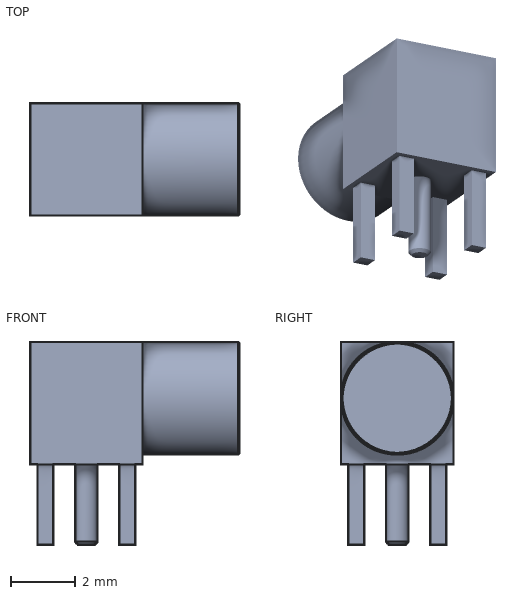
import cadquery as cq

total_length = 6.5
body_width = 3.5
body_height = 3.8
barrel_diameter = body_width
barrel_length = total_length - body_width
barrel_axis_height = body_height - barrel_diameter / 2
barrel_chamfer = 0.05

pin_length = 2.495
leg_width = 0.5
leg_spacing = 2.54
contact_diameter = 0.7
contact_chamfer = 0.1


def make_body():
    return cq.Workplane("XY").box(body_width, body_width, body_height, centered=(True, True, False))


def make_barrel():
    """Round barrel flush with the top of the body, chamfered at its free end."""
    return (
        cq.Workplane("YZ", origin=(body_width / 2, 0, barrel_axis_height))
        .circle(barrel_diameter / 2)
        .extrude(barrel_length)
        .faces(">X")
        .chamfer(barrel_chamfer)
    )


def make_legs():
    """Four square legs, one near each corner of the underside."""
    return (
        cq.Workplane("XY")
        .rarray(leg_spacing, leg_spacing, 2, 2)
        .rect(leg_width, leg_width)
        .extrude(-pin_length)
    )


def make_contact_pin():
    """Round centre pin with a chamfered tip."""
    return (
        cq.Workplane("XY")
        .circle(contact_diameter / 2)
        .extrude(-pin_length)
        .faces("<Z")
        .chamfer(contact_chamfer)
    )


result = make_body().union(make_barrel()).union(make_legs()).union(make_contact_pin())